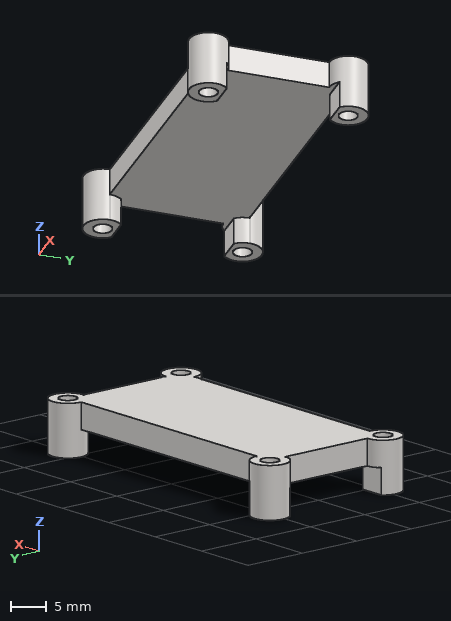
import cadquery as cq

length = 49.25
width = 26.5
height = 8.0

post_diameter = 5.7
hole_diameter = 2.7
flat_offset = 2.0

plate_thickness = height / 2
plate_length = length - post_diameter
plate_width = width - post_diameter
leg_height = height - plate_thickness


def at_corners():
    """Workplane at the bottom of the posts with a point on each post axis."""
    return cq.Workplane("XY").rect(plate_length, plate_width, forConstruction=True).vertices()


plate = (
    cq.Workplane("XY", origin=(0, 0, leg_height))
    .rect(plate_length, plate_width)
    .extrude(plate_thickness)
)
posts = at_corners().circle(post_diameter / 2).extrude(height)

clearance_width = plate_width - 2 * flat_offset
clearance = cq.Workplane("XY").rect(length, clearance_width).extrude(leg_height)

holes = at_corners().circle(hole_diameter / 2).extrude(height)

result = plate.union(posts).cut(clearance).cut(holes)